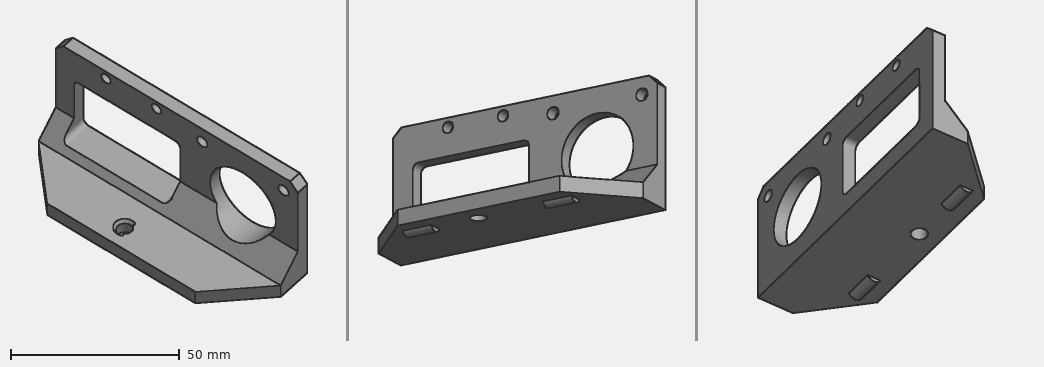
import cadquery as cq

length = 92.4
depth = 30.5
overall_height = 42.9
wall_height = 41.5
wall_thickness = 4.5
foot_thickness = 5.0
gusset_leg = 8.0
wall_corner_cut = 3.0
gusset_front = wall_thickness + gusset_leg
foot_corner_cut = depth - gusset_front

window_left = 7.0
window_width = 40.5
window_bottom = 7.2
window_height = 22.2
window_radius = 2.0

opening_x = 71.4
opening_z = 20.5
opening_diameter = 25.0
opening_screw_spacing = 31.05
opening_screw_z = 35.95
opening_screw_diameter = 4.0

window_screw_x = 28.8
window_screw_spacing = 19.2
window_screw_z = 38.45
window_screw_diameter = 3.6

foot_axis_y = -23.5
foot_hole_x = 41.8
foot_hole_diameter = 5.2
countersink_diameter = 6.9
countersink_depth = 1.1
countersink_limit_x = 43.25

rib_length = 10.0
rib_width = 4.5
rib_drop = overall_height - wall_height
rib_starts = (16.7, 65.7)


def make_body():
    profile = [
        (0, 0),
        (-depth, 0),
        (-depth, foot_thickness),
        (-gusset_front, foot_thickness),
        (-wall_thickness, foot_thickness + gusset_leg),
        (-wall_thickness, wall_height),
        (0, wall_height),
    ]
    body = cq.Workplane("YZ").polyline(profile).close().extrude(length)
    body = body.edges("|Y and >Z").chamfer(wall_corner_cut)
    return body.edges("|Z and <Y").chamfer(foot_corner_cut)


def wall_holes(points, diameter):
    """Cylinders through the wall and gusset at the given (X, Z) points."""
    return cq.Workplane("XZ").pushPoints(points).circle(diameter / 2).extrude(depth)


def screw_pair(center_x, spacing, z, diameter):
    half = spacing / 2
    return wall_holes([(center_x - half, z), (center_x + half, z)], diameter)


def make_window():
    return (
        cq.Workplane("XY")
        .box(window_width, depth, window_height, centered=False)
        .edges("|Y")
        .fillet(window_radius)
        .translate((window_left, -depth, window_bottom))
    )


def make_foot_hole():
    hole_radius = foot_hole_diameter / 2
    countersink_radius = countersink_diameter / 2
    hole = cq.Workplane("XY").circle(hole_radius).extrude(foot_thickness)
    countersink = (
        cq.Workplane("XY", origin=(0, 0, foot_thickness - countersink_depth))
        .circle(hole_radius)
        .workplane(offset=countersink_depth)
        .circle(countersink_radius)
        .loft()
    )
    keep_left = (
        cq.Workplane("XY")
        .box(countersink_diameter, countersink_diameter, foot_thickness, centered=(False, True, False))
        .translate((countersink_limit_x - foot_hole_x - countersink_diameter, 0, 0))
    )
    return hole.union(countersink.intersect(keep_left)).translate((foot_hole_x, foot_axis_y, 0))


def make_rib(start_x):
    half = rib_width / 2
    return (
        cq.Workplane("YZ", origin=(start_x, foot_axis_y, 0))
        .moveTo(-half, 0)
        .threePointArc((0, -rib_drop), (half, 0))
        .close()
        .extrude(rib_length)
    )


result = make_body()
result = result.cut(make_window())
result = result.cut(wall_holes([(opening_x, opening_z)], opening_diameter))
result = result.cut(screw_pair(opening_x, opening_screw_spacing, opening_screw_z, opening_screw_diameter))
result = result.cut(screw_pair(window_screw_x, window_screw_spacing, window_screw_z, window_screw_diameter))
result = result.cut(make_foot_hole())
for rib_start in rib_starts:
    result = result.union(make_rib(rib_start))